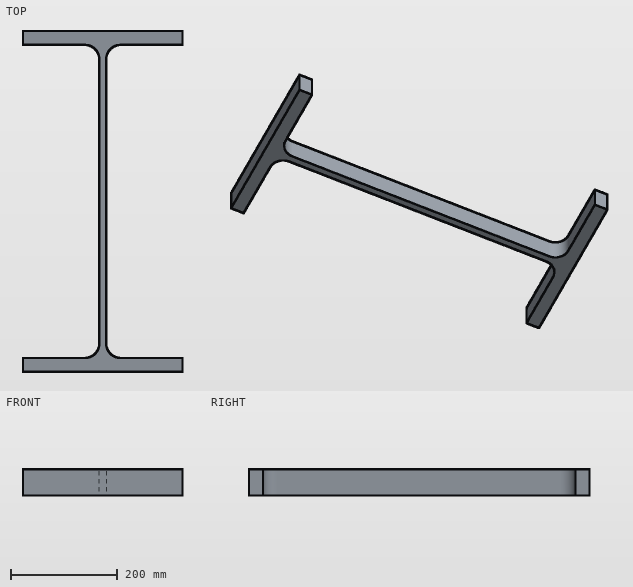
import cadquery as cq

beam_depth = 640.0
flange_width = 300.0
slice_length = 50.0
flange_thickness = 26.0
web_thickness = 13.5
root_radius = 27.0

flange_offset = (beam_depth - flange_thickness) / 2

beam = cq.Workplane("XY").box(web_thickness, beam_depth, slice_length)

for side in (-1, 1):
    flange = (
        cq.Workplane("XY")
        .box(flange_width, flange_thickness, slice_length)
        .translate((0, side * flange_offset, 0))
    )
    beam = beam.union(flange)

root_corners = cq.selectors.BoxSelector(
    (-web_thickness, -flange_offset, -slice_length),
    (web_thickness, flange_offset, slice_length),
)
result = beam.edges("|Z").edges(root_corners).fillet(root_radius)